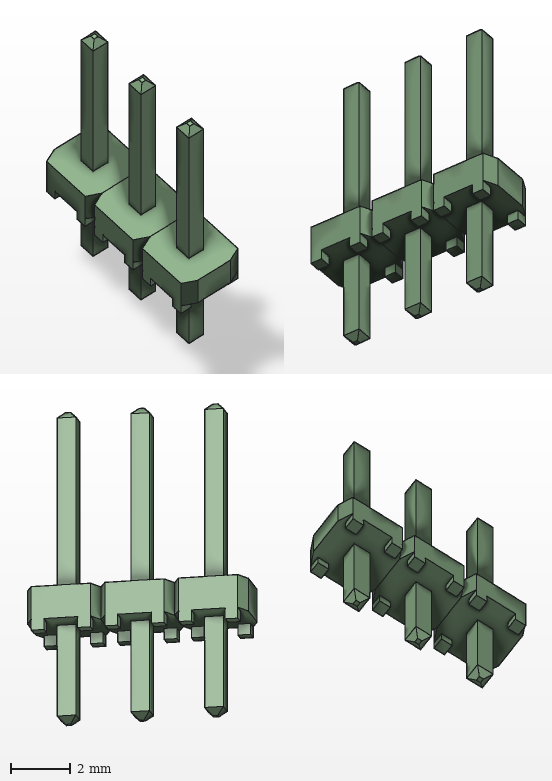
import cadquery as cq

pin_count = 3
row_length = 7.62
pitch = row_length / pin_count

housing_depth = 2.49
housing_height = 1.15
corner_cut_x = 0.25
corner_cut_y = 0.54

foot_size = 0.44
foot_height = 0.38
foot_offset_x = pitch / 2 - corner_cut_x - foot_size / 2
foot_offset_y = housing_depth / 2 - foot_size / 2

pin_length = 10.92
pin_width = 0.64
pin_below_housing = 3.42
tip_height = 0.24
tip_flat = 0.17
shank_length = pin_length - 2 * tip_height
shank_bottom = tip_height - pin_below_housing
shank_top = shank_bottom + shank_length


def make_block():
    """Rectangular block with its four vertical corners cut off."""
    half_x = pitch / 2
    half_y = housing_depth / 2
    flat_x = half_x - corner_cut_x
    flat_y = half_y - corner_cut_y
    outline = [
        (-flat_x, -half_y),
        (flat_x, -half_y),
        (half_x, -flat_y),
        (half_x, flat_y),
        (flat_x, half_y),
        (-flat_x, half_y),
        (-half_x, flat_y),
        (-half_x, -flat_y),
    ]
    return cq.Workplane("XY").polyline(outline).close().extrude(housing_height)


def make_feet():
    """Four feet, flush with the front and back faces of the block."""
    return (
        cq.Workplane("XY")
        .rect(2 * foot_offset_x, 2 * foot_offset_y, forConstruction=True)
        .vertices()
        .rect(foot_size, foot_size)
        .extrude(-foot_height)
    )


def make_housing(center_x):
    """Block with feet and a square through hole for its pin."""
    pin_hole = cq.Workplane("XY").rect(pin_width, pin_width).extrude(housing_height)
    housing = make_block().union(make_feet()).cut(pin_hole)
    return housing.translate((center_x, 0, 0))


def make_tip(base_z, direction):
    """Blunt pyramid on the shank end at base_z, pointing up (1) or down (-1)."""
    return (
        cq.Workplane("XY", origin=(0, 0, base_z))
        .rect(pin_width, pin_width)
        .workplane(offset=direction * tip_height)
        .rect(tip_flat, tip_flat)
        .loft(ruled=True)
    )


def make_pin(center_x):
    """Square shank with a tip at both ends."""
    shank = (
        cq.Workplane("XY", origin=(0, 0, shank_bottom))
        .rect(pin_width, pin_width)
        .extrude(shank_length)
    )
    pin = shank.union(make_tip(shank_top, 1)).union(make_tip(shank_bottom, -1))
    return pin.translate((center_x, 0, 0))


housings = []
pins = []
for index in range(pin_count):
    position_x = (index - (pin_count - 1) / 2) * pitch
    housings.append(make_housing(position_x).val())
    pins.append(make_pin(position_x).val())

result = cq.Compound.makeCompound([*housings, *pins])